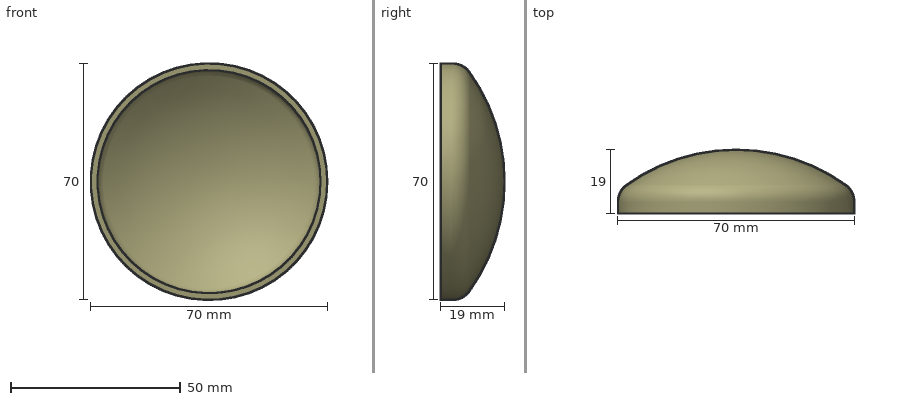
import cadquery as cq
import math

outer_radius = 35.0
height = 19.0
wall = 2.0
rim_height = 3.6
shoulder_radius = 6.0

shoulder_center_x = outer_radius - shoulder_radius
crown_rise = height - rim_height
dome_radius = (shoulder_center_x**2 + crown_rise**2 - shoulder_radius**2) / (
    2 * (crown_rise - shoulder_radius)
)
dome_center_y = height - dome_radius

tangent_angle = math.asin(shoulder_center_x / (dome_radius - shoulder_radius))


def shoulder_point(offset, angle):
    """Point on the shoulder arc, moved inward by offset, at an angle from the axis."""
    radius = shoulder_radius - offset
    return (
        shoulder_center_x + radius * math.sin(angle),
        rim_height + radius * math.cos(angle),
    )


def dome_point(offset, angle):
    """Point on the dome arc, moved inward by offset, at an angle from the axis."""
    radius = dome_radius - offset
    return (radius * math.sin(angle), dome_center_y + radius * math.cos(angle))


def solid_cap(offset):
    """Solid of revolution bounded by the outer surface moved inward by offset."""
    shoulder_middle_angle = (tangent_angle + math.pi / 2) / 2
    profile = (
        cq.Workplane("XY")
        .lineTo(outer_radius - offset, 0)
        .lineTo(outer_radius - offset, rim_height)
        .threePointArc(
            shoulder_point(offset, shoulder_middle_angle),
            shoulder_point(offset, tangent_angle),
        )
        .threePointArc(dome_point(offset, tangent_angle / 2), dome_point(offset, 0))
        .close()
    )
    return profile.revolve(360, (0, 0, 0), (0, 1, 0))


result = solid_cap(0).cut(solid_cap(wall))